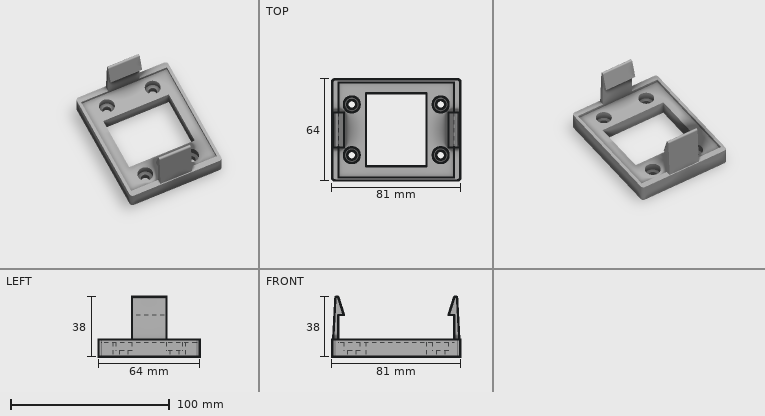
import cadquery as cq

length = 81.0
width = 64.0
base_height = 11.0
corner_radius = 2.0
end_wall = 4.0
side_wall = 2.0
recess_depth = 2.0
window_length = 37.9
window_width = 45.85

hole_spacing_x = 56.05
hole_spacing_y = 32.0
hole_diameter = 5.5
counterbore_diameter = 10.05
counterbore_depth = 5.0

total_height = 38.0
clip_width = 22.0
clip_root_inset = 0.65
clip_top_inset = 2.1
clip_top_thickness = 1.8
barb_tip_inset = 7.5
barb_height = 26.4
clip_tip_radius = 1.0

recess_floor = base_height - recess_depth


def make_base():
    """Rounded plate with a shallow recess, a window and four screw holes."""
    base = (
        cq.Workplane("XY")
        .rect(length, width)
        .extrude(base_height)
        .edges("|Z")
        .fillet(corner_radius)
    )
    recess = (
        cq.Workplane("XY", origin=(0, 0, recess_floor))
        .rect(length - 2 * end_wall, width - 2 * side_wall)
        .extrude(recess_depth)
    )
    window = cq.Workplane("XY").rect(window_length, window_width).extrude(base_height)
    hole_centers = (
        cq.Workplane("XY", origin=(0, 0, recess_floor))
        .rect(hole_spacing_x, hole_spacing_y, forConstruction=True)
        .vertices()
    )
    holes = hole_centers.circle(hole_diameter / 2).extrude(-recess_floor)
    counterbores = hole_centers.circle(counterbore_diameter / 2).extrude(-counterbore_depth)
    return base.cut(recess).cut(window).cut(holes).cut(counterbores)


def make_left_clip():
    """Tapered clip standing on the left end wall, with its barb facing inward."""
    end_face = -length / 2
    profile = [
        (end_face + clip_root_inset, base_height),
        (end_face + clip_top_inset, total_height),
        (end_face + clip_top_inset + clip_top_thickness, total_height),
        (end_face + barb_tip_inset, barb_height),
        (end_face + end_wall, barb_height),
        (end_face + end_wall, base_height),
    ]
    return (
        cq.Workplane("XZ")
        .polyline(profile)
        .close()
        .extrude(clip_width / 2, both=True)
        .faces(">Z")
        .edges("|Y")
        .fillet(clip_tip_radius)
    )


left_clip = make_left_clip()
right_clip = left_clip.mirror("YZ")
result = make_base().union(left_clip).union(right_clip)